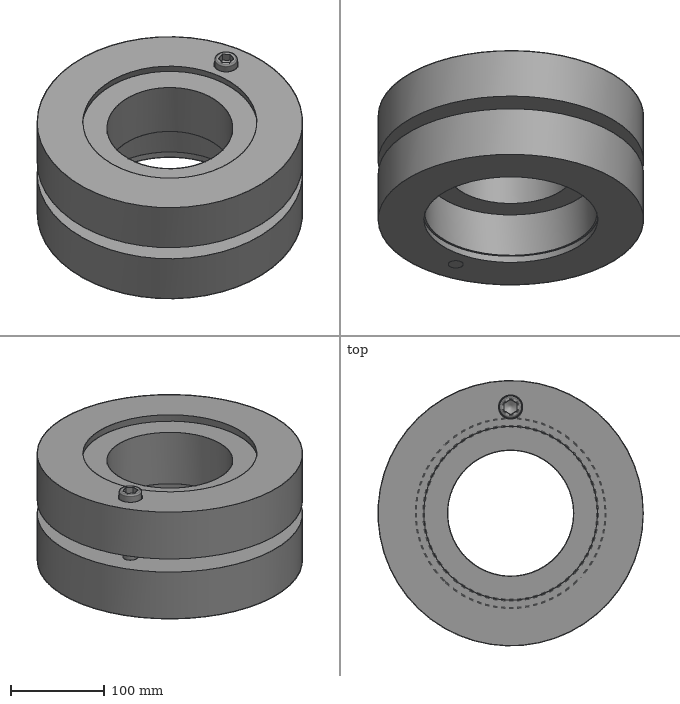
import cadquery as cq
import math

ring_diameter = 285.0
ring_height = 56.1
ring_gap = 15.7
stack_height = 2 * ring_height + ring_gap
mid_height = stack_height / 2

taper_end_diameter = 186.7
taper_mid_diameter = 205.0
bore_diameter = 135.0
relief_diameter = 185.0
relief_top = 58.0
inner_recess = 8.3

screw_offset = 114.0
shank_diameter = 16.0
clearance_diameter = 18.0
head_diameter = 24.0
head_height = shank_diameter
head_fillet = 1.6
counterbore_diameter = 26.0
counterbore_depth = 8.0
socket_flats = 14.0
socket_depth = 8.0
socket_tip_angle = 120.0
head_seat = stack_height - counterbore_depth


def taper_radius(height):
    """Radius of the double cone at a given height."""
    end_radius = taper_end_diameter / 2
    mid_radius = taper_mid_diameter / 2
    distance = abs(height - mid_height) / mid_height
    return mid_radius + (end_radius - mid_radius) * distance


def cylinder(diameter, bottom, top, offset=0.0):
    """Vertical cylinder between two heights, moved along +Y by offset."""
    return cq.Workplane("XY", origin=(0, offset, bottom)).circle(diameter / 2).extrude(top - bottom)


def double_cone(bottom, top):
    """Solid double cone, widest at mid height."""
    return (
        cq.Workplane("XZ")
        .moveTo(0, bottom)
        .lineTo(taper_radius(bottom), bottom)
        .lineTo(taper_radius(mid_height), mid_height)
        .lineTo(taper_radius(top), top)
        .lineTo(0, top)
        .close()
        .revolve(360, (0, 0, 0), (0, 1, 0))
    )


def make_thrust_ring(bottom):
    """Ring with a conical seat for the inner ring."""
    blank = cylinder(ring_diameter, bottom, bottom + ring_height)
    return blank.cut(double_cone(0, stack_height))


def make_upper_ring():
    """Thrust ring with a counterbored clearance hole for the screw."""
    ring = make_thrust_ring(ring_height + ring_gap)
    clearance = cylinder(clearance_diameter, 0, stack_height, screw_offset)
    counterbore = cylinder(counterbore_diameter, head_seat, stack_height, screw_offset)
    return ring.cut(clearance).cut(counterbore)


def make_lower_ring():
    """Thrust ring with a through hole that holds the screw shank."""
    return make_thrust_ring(0).cut(cylinder(shank_diameter, 0, ring_height, screw_offset))


def make_inner_ring():
    """Double-tapered ring, recessed from both outer faces, with its bore widened below."""
    ring = double_cone(inner_recess, stack_height - inner_recess)
    bore = cylinder(bore_diameter, 0, stack_height)
    relief = cylinder(relief_diameter, 0, relief_top)
    return ring.cut(bore).cut(relief)


def make_socket(top):
    """Hexagon socket with corners on the Y axis, closed by a conical drill point."""
    corner_radius = socket_flats / 2 / math.cos(math.pi / 6)
    corner_angles = [math.pi / 2 + side * math.pi / 3 for side in range(6)]
    corners = [(corner_radius * math.cos(a), corner_radius * math.sin(a)) for a in corner_angles]
    tip_depth = corner_radius / math.tan(math.radians(socket_tip_angle / 2))
    floor = top - socket_depth
    tip_bottom = floor - tip_depth
    prism = (
        cq.Workplane("XY", origin=(0, screw_offset, tip_bottom))
        .polyline(corners)
        .close()
        .extrude(top - tip_bottom)
    )
    drill_tip = cq.Workplane(
        cq.Solid.makeCone(0, corner_radius, tip_depth, cq.Vector(0, screw_offset, tip_bottom))
    )
    drill_body = cylinder(2 * corner_radius, floor, top, screw_offset)
    return prism.intersect(drill_tip.union(drill_body))


def make_screw():
    """Screw with a rounded head and a hexagon socket."""
    head_top = head_seat + head_height
    head = cylinder(head_diameter, head_seat, head_top, screw_offset)
    head = head.faces(">Z").edges().fillet(head_fillet)
    shank = cylinder(shank_diameter, 0, head_seat, screw_offset)
    return head.union(shank).cut(make_socket(head_top))


upper_ring = make_upper_ring()
lower_ring = make_lower_ring()
inner_ring = make_inner_ring()
screw = make_screw()

result = cq.Compound.makeCompound([upper_ring.val(), lower_ring.val(), inner_ring.val(), screw.val()])